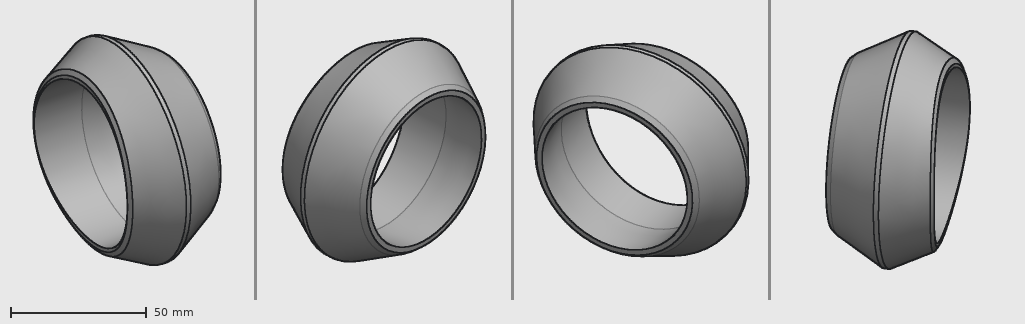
import cadquery as cq

length = 40.76
back_y = length / 2

band_radius = 44.07
band_width = 1.9
band_back_y = 0.1
band_front_y = band_back_y - band_width

back_bevel_height = 2.0
back_bevel_radius = 33.95
back_rim_radius = 32.25

front_tip_y = -back_y
front_tip_radius = 34.4
front_stock = 5.0

front_bore_radius = 32.6
back_bore_radius = 30.05
bore_taper_y = band_back_y

saddle_pipe_radius = 203.2
saddle_crown_y = -17.7
saddle_bevel = 1.4


def revolve_about_y(profile):
    """Revolve a closed outline of (y, radius) points about the Y axis."""
    return cq.Workplane("YZ").polyline(profile).close().revolve(360, (0, 0, 0), (1, 0, 0))


def make_body():
    """Revolve the outer profile, extended past the saddle at the front."""
    cone_slope = (band_radius - front_tip_radius) / (band_front_y - front_tip_y)
    stock_end_y = front_tip_y - front_stock
    stock_end_radius = front_tip_radius - cone_slope * front_stock
    profile = [
        (back_y, 0),
        (back_y, back_rim_radius),
        (back_y - back_bevel_height, back_bevel_radius),
        (band_back_y, band_radius),
        (band_front_y, band_radius),
        (stock_end_y, stock_end_radius),
        (stock_end_y, 0),
    ]
    return revolve_about_y(profile)


def make_saddle_pipe():
    """Pipe cylinder that shapes the concave front end."""
    half_length = 2 * band_radius
    return (
        cq.Workplane("XY")
        .center(0, saddle_crown_y - saddle_pipe_radius)
        .circle(saddle_pipe_radius)
        .extrude(half_length, both=True)
    )


def make_bore():
    """Revolve the through bore with its tapered back part."""
    bore_end_y = front_tip_y - front_stock
    profile = [
        (back_y, 0),
        (back_y, back_bore_radius),
        (bore_taper_y, front_bore_radius),
        (bore_end_y, front_bore_radius),
        (bore_end_y, 0),
    ]
    return revolve_about_y(profile)


def bevel_saddle_rim(part):
    """Bevel the outer edge where the front cone meets the saddle."""
    return part.faces("<Y").edges().chamfer(saddle_bevel)


body = make_body().cut(make_saddle_pipe())
body = bevel_saddle_rim(body)
result = body.cut(make_bore())